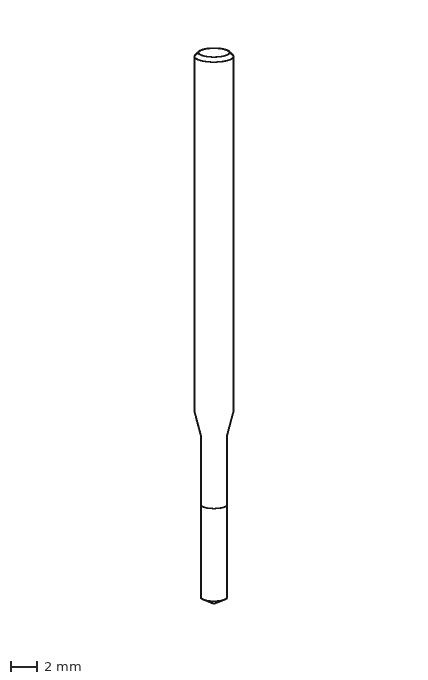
import cadquery as cq

total_length = 44.0
shank_diameter = 3.0
drill_diameter = 2.02
shank_chamfer = 0.3
tip_height = 0.55
cutting_length = 7.9
neck_top = 13.45
shank_bottom = 15.35

shank_radius = shank_diameter / 2
drill_radius = drill_diameter / 2


def make_shank():
    """Chamfered shank, tapering down to the neck that holds the cutting head."""
    return (
        cq.Workplane("XZ")
        .moveTo(0, cutting_length)
        .lineTo(drill_radius, cutting_length)
        .lineTo(drill_radius, neck_top)
        .lineTo(shank_radius, shank_bottom)
        .lineTo(shank_radius, total_length - shank_chamfer)
        .lineTo(shank_radius - shank_chamfer, total_length)
        .lineTo(0, total_length)
        .close()
        .revolve(360, (0, 0), (0, 1))
    )


def make_cutting_head():
    """Cylindrical cutting head with a conical point."""
    return (
        cq.Workplane("XZ")
        .lineTo(drill_radius, tip_height)
        .lineTo(drill_radius, cutting_length)
        .lineTo(0, cutting_length)
        .close()
        .revolve(360, (0, 0), (0, 1))
    )


shank = make_shank()
cutting_head = make_cutting_head()

result = cq.Compound.makeCompound([shank.val(), cutting_head.val()])